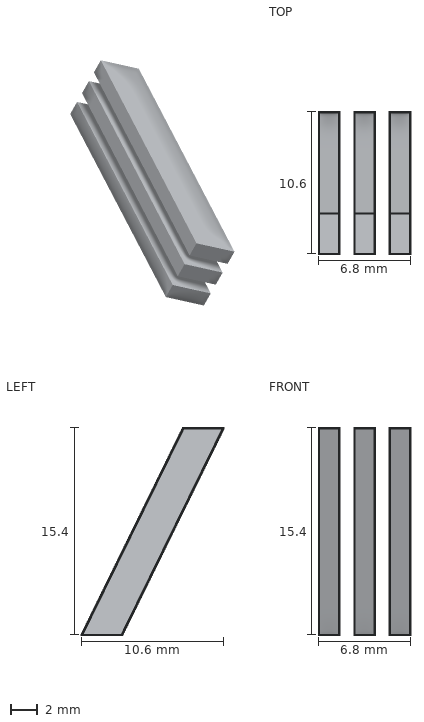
import cadquery as cq

total_width = 6.8
total_depth = 10.55
height = 15.39

bar_count = 3
bar_width = 1.53
bar_depth = 3.0

bar_pitch = (total_width - bar_width) / (bar_count - 1)
lean = total_depth - bar_depth


def leaning_bar(left_x):
    """Slanted bar with level ends, its left side at left_x and its foot on Z = 0."""
    rear_y = total_depth / 2
    front_y = -total_depth / 2
    return (
        cq.Workplane("YZ", origin=(left_x, 0, 0))
        .moveTo(rear_y - bar_depth, 0)
        .lineTo(rear_y, 0)
        .lineTo(rear_y - lean, height)
        .lineTo(front_y, height)
        .close()
        .extrude(bar_width)
    )


bars = []
for index in range(bar_count):
    bar = leaning_bar(-total_width / 2 + index * bar_pitch)
    bars.append(bar.val())

result = cq.Compound.makeCompound(bars)